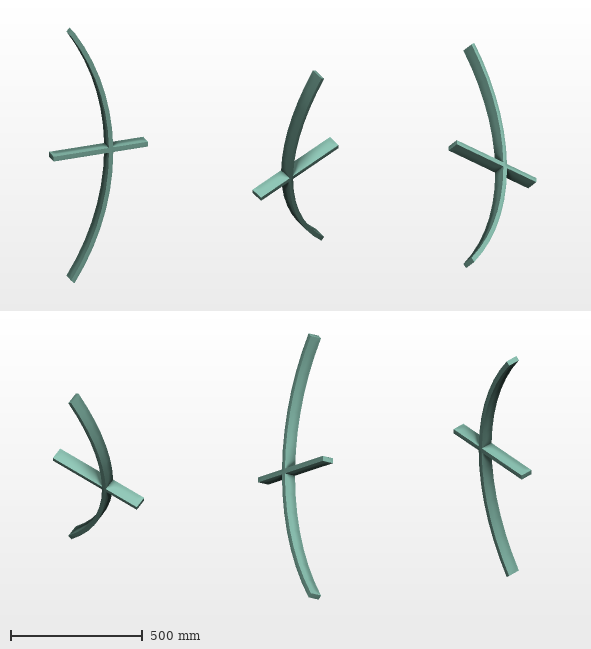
import cadquery as cq

width = 50.0
height = 1044.0
bar_length = 385.0
bar_thickness = 20.0
bar_underside = -1.0

bow_thickness = 18.0
bow_sagitta = 159.0
tip_run = 14.0
tip_rise = 14.0
bar_back_reach = 142.0

outer_tip_y = -bow_sagitta
outer_tip_z = height / 2
inner_tip_y = outer_tip_y - tip_run
inner_tip_z = outer_tip_z - tip_rise


def make_bow():
    """Curved strip with slanted ends and its outer crown at the origin."""
    return (
        cq.Workplane("YZ")
        .moveTo(outer_tip_y, -outer_tip_z)
        .threePointArc((0, 0), (outer_tip_y, outer_tip_z))
        .lineTo(inner_tip_y, inner_tip_z)
        .threePointArc((-bow_thickness, 0), (inner_tip_y, -inner_tip_z))
        .close()
        .extrude(width / 2, both=True)
    )


def make_bar():
    """Straight bar crossing the bow at its crown, just above mid-height."""
    bar_center_y = bar_back_reach - bar_length / 2
    bar_center_z = bar_underside + bar_thickness / 2
    bar = cq.Workplane("XY").box(width, bar_length, bar_thickness)
    return bar.translate((0, bar_center_y, bar_center_z))


result = make_bow().union(make_bar())